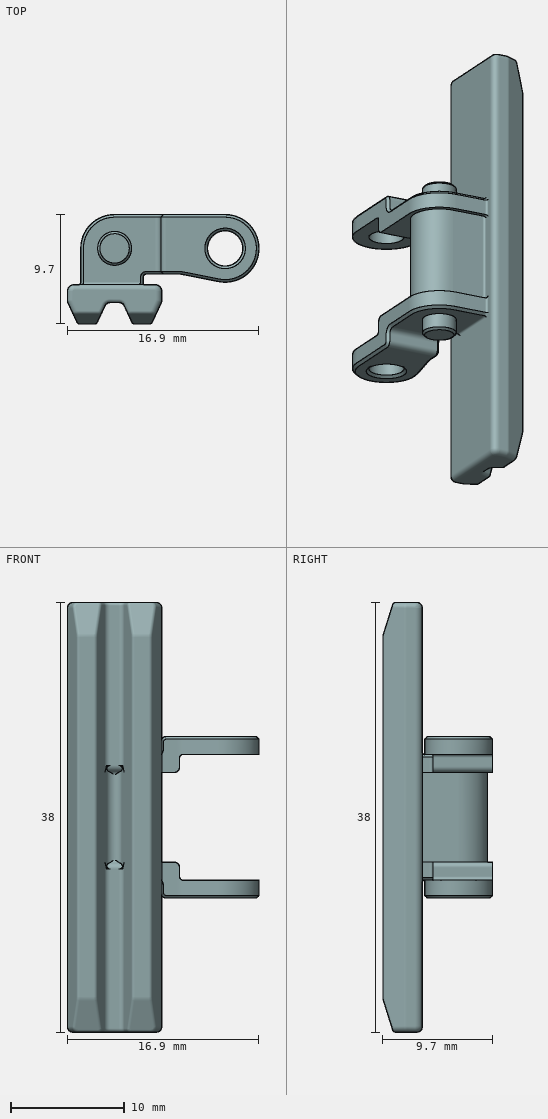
import cadquery as cq
import math


rail_length = 38.0
rail_half_width = 4.18
rail_back_y = -3.2
tooth_tip_y = -6.7
side_bend_y = -4.71
groove_floor_y = -4.8
flank_angle = 25.0
groove_mouth_half_width = 1.6
back_corner_radius = 0.6
side_bend_radius = 0.5
groove_floor_radius = 0.5
tooth_edge_radius = 0.3
ramp_bend_radius = 1.0
outer_end_radius = 0.5
groove_end_radius = 0.3

ramp_length = 2.95
ramp_depth = 0.93

recess_radius = 0.72
recess_half_length = 4.58
recess_lip_radius = 0.58
recess_root_radius = 0.35

lug_radius = 3.0
tube_radius = 2.56
tube_half_length = 3.95
base_fillet = 0.2
root_depth = 0.5
pin_diameter = 3.0
pin_half_length = 7.0
pin_chamfer = 0.2

plate_thickness = 1.6
lug_right_x = 2.53
arm_bottom_y = -2.27
arm_corner_radius = 0.3
arm_bend_x = 5.8
arm_bend_radius = 2.0
eye_x = 9.77
eye_radius = 3.0
eye_hole_diameter = 3.1
step_outer_x = 4.08
step_inner_x = 5.75
step_radius = 0.5
step_inner_radius = 0.3
plate_edge = 0.24

lug_face_z = tube_half_length + plate_thickness
arm_face_z = lug_face_z + plate_thickness
rail_end_z = rail_length / 2
flank_slope = math.tan(math.radians(flank_angle))
groove_floor_half_width = groove_mouth_half_width - (groove_floor_y - tooth_tip_y) * flank_slope
tooth_outer_x = rail_half_width - (side_bend_y - tooth_tip_y) * flank_slope
root_y = rail_back_y - root_depth
reach = 0.1


def both_ends(shape):
    """Return the shape together with its mirror image across Z = 0."""
    return shape.union(shape.mirror("XY"))


def edges_along_z(x, y):
    """Select the edges that run along Z at (x, y) and at (-x, y)."""
    right, left = [
        cq.selectors.BoxSelector(
            (center_x - reach, y - reach, -rail_length),
            (center_x + reach, y + reach, rail_length),
        )
        for center_x in (x, -x)
    ]
    return right + left


def round_rail_ends(rail):
    end_edges = rail.faces("<Z or >Z").edges().vals()
    outer_edges = [
        edge for edge in end_edges
        if abs(edge.Center().x) > tooth_outer_x or edge.Center().y > (rail_back_y + side_bend_y) / 2
    ]
    rail = rail.newObject(outer_edges).fillet(outer_end_radius)

    groove_edges = [
        edge for edge in rail.faces("<Z or >Z").edges().vals()
        if abs(edge.Center().x) < groove_mouth_half_width and edge.Center().y < side_bend_y
    ]
    return rail.newObject(groove_edges).fillet(groove_end_radius)


def round_teeth(rail):
    """Round all edges of the tooth tips and of the ramps that continue them."""
    tooth_zone = cq.selectors.BoxSelector(
        (-rail_half_width, tooth_tip_y - reach, -rail_length),
        (rail_half_width, tooth_tip_y + ramp_depth + groove_end_radius, rail_length),
        boundingbox=True,
    )
    return rail.faces(tooth_zone).edges().fillet(tooth_edge_radius)


def make_rail():
    half_outline = [
        (rail_half_width, rail_back_y),
        (rail_half_width, side_bend_y),
        (tooth_outer_x, tooth_tip_y),
        (groove_mouth_half_width, tooth_tip_y),
        (groove_floor_half_width, groove_floor_y),
    ]
    mirrored_outline = [(-x, y) for x, y in reversed(half_outline)]
    rail = (
        cq.Workplane("XY")
        .polyline(half_outline + mirrored_outline)
        .close()
        .extrude(rail_end_z, both=True)
    )
    for x, y, radius in (
        (rail_half_width, rail_back_y, back_corner_radius),
        (rail_half_width, side_bend_y, side_bend_radius),
        (groove_floor_half_width, groove_floor_y, groove_floor_radius),
    ):
        rail = rail.edges("|Z").edges(edges_along_z(x, y)).fillet(radius)

    ramp = (
        cq.Workplane("YZ")
        .moveTo(tooth_tip_y, rail_end_z - ramp_length)
        .lineTo(tooth_tip_y + ramp_depth, rail_end_z)
        .lineTo(tooth_tip_y, rail_end_z)
        .close()
        .extrude(rail_half_width, both=True)
    )
    rail = rail.cut(both_ends(ramp))
    ramp_bends = cq.selectors.BoxSelector(
        (-rail_half_width, tooth_tip_y - reach, -rail_end_z + reach),
        (rail_half_width, tooth_tip_y + reach, rail_end_z - reach),
    )
    rail = rail.edges("|X").edges(ramp_bends).fillet(ramp_bend_radius)
    return round_teeth(round_rail_ends(rail))


def make_recess():
    """Cutter that continues the groove flanks down to a round bottom, with S-curved ends."""
    flank = math.radians(flank_angle)
    flanks_meet_y = groove_floor_y + groove_floor_half_width / flank_slope
    center_y = flanks_meet_y - recess_radius / math.sin(flank)
    bottom_y = center_y + recess_radius
    tangent_x = recess_radius * math.cos(flank)
    tangent_y = center_y + recess_radius * math.sin(flank)
    corner_tangent = groove_floor_radius * math.tan((math.pi / 2 - flank) / 2)
    mouth_y = groove_floor_y - corner_tangent * math.cos(flank)
    mouth_x = groove_floor_half_width + corner_tangent * math.sin(flank)
    trough = (
        cq.Workplane("XY")
        .moveTo(-mouth_x, mouth_y)
        .lineTo(-tangent_x, tangent_y)
        .threePointArc((0, bottom_y), (tangent_x, tangent_y))
        .lineTo(mouth_x, mouth_y)
        .close()
        .extrude(recess_half_length, both=True)
    )

    radius_sum = recess_lip_radius + recess_root_radius
    turn = math.acos(1 - (bottom_y - groove_floor_y) / radius_sum)
    flat_z = recess_half_length - radius_sum * math.sin(turn)

    def lip_point(angle):
        return (
            groove_floor_y + recess_lip_radius * (1 - math.cos(angle)),
            recess_half_length - recess_lip_radius * math.sin(angle),
        )

    def root_point(angle):
        return (
            bottom_y - recess_root_radius * (1 - math.cos(angle)),
            flat_z + recess_root_radius * math.sin(angle),
        )

    depth_profile = (
        cq.Workplane("YZ")
        .moveTo(mouth_y, 0)
        .lineTo(mouth_y, recess_half_length - recess_lip_radius)
        .lineTo(groove_floor_y, recess_half_length)
        .threePointArc(lip_point(turn / 2), lip_point(turn))
        .threePointArc(root_point(turn / 2), root_point(0))
        .lineTo(bottom_y, 0)
        .close()
        .extrude(rail_half_width, both=True)
    )
    return trough.intersect(both_ends(depth_profile))


def make_arm_outline():
    """Plan outline of a lug with its arm, as a prism along Z."""
    bend_x = arm_bend_x - eye_x
    bend_distance = math.hypot(bend_x, arm_bottom_y)
    tangent_angle = math.atan2(arm_bottom_y, bend_x) + math.acos(eye_radius / bend_distance)
    tangent_point = (
        eye_x + eye_radius * math.cos(tangent_angle),
        eye_radius * math.sin(tangent_angle),
    )
    lug_diagonal = lug_radius * math.sqrt(0.5)
    prism = (
        cq.Workplane("XY")
        .moveTo(-lug_radius, root_y)
        .lineTo(-lug_radius, 0)
        .threePointArc((-lug_diagonal, lug_diagonal), (0, lug_radius))
        .lineTo(eye_x, eye_radius)
        .threePointArc((eye_x + eye_radius, 0), tangent_point)
        .lineTo(arm_bend_x, arm_bottom_y)
        .lineTo(lug_right_x, arm_bottom_y)
        .lineTo(lug_right_x, root_y)
        .close()
        .extrude(arm_face_z)
    )
    prism = prism.edges("|Z").edges(edges_along_z(lug_right_x, arm_bottom_y)).fillet(arm_corner_radius)
    return prism.edges("|Z").edges(edges_along_z(arm_bend_x, arm_bottom_y)).fillet(arm_bend_radius)


def make_arm():
    """Upper lug and arm, stepped outwards along X."""
    left_x = -lug_radius
    right_x = eye_x + eye_radius
    stepped_plate = (
        cq.Workplane("XZ")
        .moveTo(left_x, tube_half_length)
        .lineTo(step_inner_x, tube_half_length)
        .lineTo(step_inner_x, lug_face_z)
        .lineTo(right_x, lug_face_z)
        .lineTo(right_x, arm_face_z)
        .lineTo(step_outer_x, arm_face_z)
        .lineTo(step_outer_x, lug_face_z)
        .lineTo(left_x, lug_face_z)
        .close()
        .extrude(2 * lug_radius, both=True)
    )

    def step_edge(x, z):
        return cq.selectors.BoxSelector(
            (x - reach, -lug_radius, z - reach),
            (x + reach, lug_radius, z + reach),
        )

    for x, z, radius in (
        (step_outer_x, lug_face_z, step_radius),
        (step_outer_x, arm_face_z, step_radius),
        (step_inner_x, tube_half_length, step_radius),
        (step_inner_x, lug_face_z, step_inner_radius),
    ):
        stepped_plate = stepped_plate.edges("|Y").edges(step_edge(x, z)).fillet(radius)

    arm = make_arm_outline().intersect(stepped_plate)
    arm = arm.faces(">Z").edges(">X").chamfer(plate_edge)
    hole = cq.Workplane("XY").center(eye_x, 0).circle(eye_hole_diameter / 2).extrude(2 * arm_face_z)
    arm = arm.cut(hole)
    hole_rim = cq.selectors.RadiusNthSelector(0)
    return arm.faces(">Z").edges("%CIRCLE").edges(hole_rim).chamfer(plate_edge)


def make_tube():
    return (
        cq.Workplane("XY")
        .moveTo(-tube_radius, root_y)
        .lineTo(-tube_radius, 0)
        .threePointArc((0, tube_radius), (tube_radius, 0))
        .lineTo(tube_radius, root_y)
        .close()
        .extrude(tube_half_length, both=True)
    )


def make_pin():
    return (
        cq.Workplane("XY")
        .circle(pin_diameter / 2)
        .extrude(pin_half_length, both=True)
        .faces("<Z or >Z")
        .chamfer(pin_chamfer)
    )


def round_base(part):
    """Fillet where the lugs and the tube meet the back of the rail, except on the +X side."""
    base_zone = cq.selectors.BoxSelector(
        (-lug_radius - reach, rail_back_y - reach, -lug_face_z - reach),
        (lug_right_x - plate_edge, rail_back_y + reach, lug_face_z + reach),
    )
    return part.edges(base_zone).fillet(base_fillet)


rail = make_rail().cut(make_recess())
hinge = make_tube().union(both_ends(make_arm())).union(make_pin())
result = round_base(rail.union(hinge))